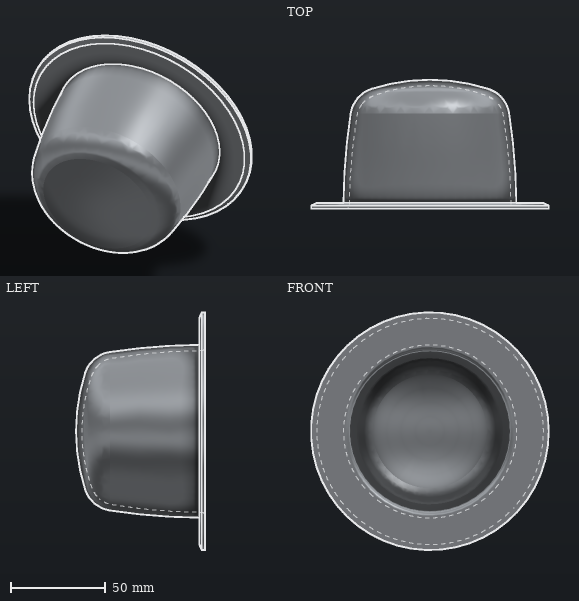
import cadquery as cq
import math

flange_radius = 63.0
flange_thickness = 3.2
chamfer_axial = 1.4
chamfer_radial = 3.0

cup_depth = 68.4
cup_base_radius = 45.9
shoulder_radius = 40.5
shoulder_height = 60.0
shoulder_rounding = 16.4
wall = 3.0
mouth_rounding = 1.9


def revolve_about_y(profile):
    return profile.close().revolve(360, (0, 0, 0), (0, 1, 0))


def make_cup(inset):
    """Solid dome whose surface lies the given inset inside the outer cup."""
    base_radius = cup_base_radius - inset
    corner_radius = shoulder_radius - inset
    corner_height = shoulder_height - inset
    apex_height = cup_depth - inset

    crown_rise = apex_height - corner_height
    crown_sphere_radius = (corner_radius**2 + crown_rise**2) / (2 * crown_rise)
    mid_radius = corner_radius / 2
    mid_drop = crown_sphere_radius - math.sqrt(crown_sphere_radius**2 - mid_radius**2)

    side_taper = base_radius - corner_radius
    side_arc_radius = (corner_height**2 + side_taper**2) / (2 * side_taper)
    side_mid_height = corner_height / 2
    side_mid_taper = side_arc_radius - math.sqrt(side_arc_radius**2 - side_mid_height**2)

    profile = (
        cq.Workplane("XY")
        .lineTo(base_radius, 0)
        .threePointArc((base_radius - side_mid_taper, side_mid_height), (corner_radius, corner_height))
        .threePointArc((mid_radius, apex_height - mid_drop), (0, apex_height))
    )
    rounding = shoulder_rounding - inset
    dome = revolve_about_y(profile)
    shoulder = cq.selectors.NearestToPointSelector((0, corner_height, 0))
    return dome.edges(shoulder).fillet(rounding)


def make_flange():
    """Disc with its rear rim bevelled."""
    profile = (
        cq.Workplane("XY")
        .lineTo(flange_radius, 0)
        .lineTo(flange_radius, flange_thickness - chamfer_axial)
        .lineTo(flange_radius - chamfer_radial, flange_thickness)
        .lineTo(0, flange_thickness)
    )
    return revolve_about_y(profile)


def round_mouth(body):
    """Round the inner edge of the opening on the flat front face."""
    mouth = cq.selectors.RadiusNthSelector(0)
    return body.faces("<Y").edges(mouth).fillet(mouth_rounding)


shell = make_flange().union(make_cup(0)).cut(make_cup(wall))
result = round_mouth(shell)